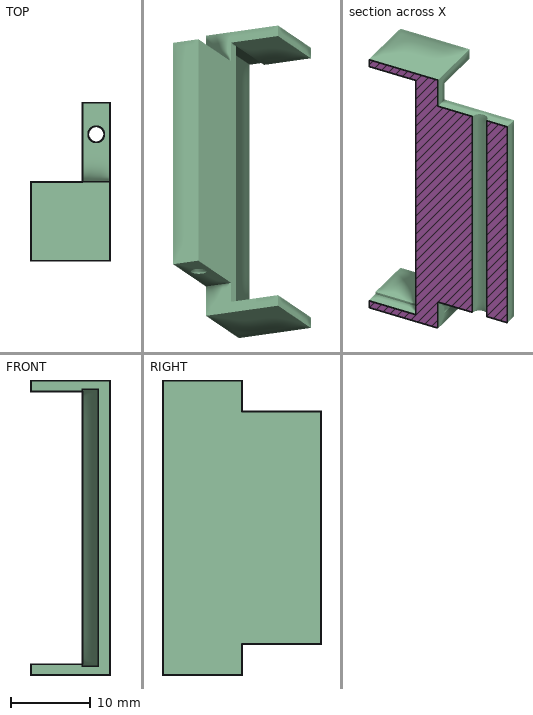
import cadquery as cq

flange_width = 10.0
body_depth = 10.0
body_height = 37.2
flange_thickness = 1.4
web_thickness = 3.5
tongue_length = 10.0
tongue_height = 29.4
hole_diameter = 2.0
hole_from_tongue_end = 4.0

recess_height = 35.0
recess_wall = 1.5
recess_depth = 8.5

recess_cut = web_thickness - recess_wall
recess_floor_depth = recess_depth - recess_cut
hole_x = -web_thickness / 2
hole_y = body_depth + tongue_length - hole_from_tongue_end


def block(x_min, x_max, y_min, y_max, z_min, z_max):
    """Axis-aligned box between the given limits."""
    size = (x_max - x_min, y_max - y_min, z_max - z_min)
    return cq.Workplane("XY").box(*size, centered=False).translate((x_min, y_min, z_min))


def make_body():
    """C-shaped body: a web with a flange at each end."""
    body = block(-flange_width, 0, 0, body_depth, -body_height / 2, body_height / 2)
    inner_half_height = body_height / 2 - flange_thickness
    opening = block(
        -flange_width, -web_thickness, 0, body_depth, -inner_half_height, inner_half_height
    )
    return body.cut(opening)


def make_tongue():
    """Shorter plate that continues the web behind the body."""
    return block(
        -web_thickness, 0, body_depth, body_depth + tongue_length, -tongue_height / 2, tongue_height / 2
    )


def make_recess():
    """Front recess in the web, with its rear end sloped at 45 degrees."""
    return (
        cq.Workplane("XY", origin=(0, 0, -recess_height / 2))
        .moveTo(-web_thickness, 0)
        .lineTo(-recess_wall, 0)
        .lineTo(-recess_wall, recess_floor_depth)
        .lineTo(-web_thickness, recess_depth)
        .close()
        .extrude(recess_height)
    )


def make_hole():
    """Vertical hole through the full height of the tongue."""
    return (
        cq.Workplane("XY", origin=(hole_x, hole_y, -tongue_height / 2))
        .circle(hole_diameter / 2)
        .extrude(tongue_height)
    )


result = make_body().union(make_tongue()).cut(make_recess()).cut(make_hole())